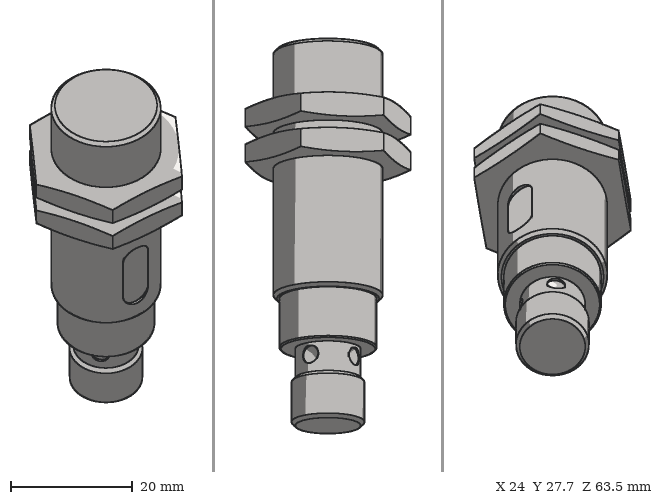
import cadquery as cq
import math

total_height = 63.5

plug_radius = 12.0 / 2
plug_top_z = 8.0
neck_radius = 10.77 / 2

collar_radius = 16.0 / 2
collar_bottom_z = 13.0
collar_chamfer = 0.25

barrel_radius = 18.0 / 2
barrel_bottom_z = 21.5
barrel_chamfer = 0.6

nut_across_flats = 24.0
nut_thickness = 4.0
nut_gap = 2.0
lower_nut_z = 43.5
nut_chamfer_angle = 15.0
nut_count = 2
hexagon_sides = 6
hexagon_turn = 180 / hexagon_sides

dimple_count = 4
dimple_first_angle = 45.0
dimple_radius = 3.0 / 2
dimple_floor_radius = 3.5
dimple_depth = 0.75
dimple_z = 11.0

slot_width = 5.0
slot_length = 12.8
slot_center_z = 31.5
slot_depth = 0.5


def make_body():
    """Turned profile of plug, neck, collar and barrel, revolved about Z."""
    neck_step = plug_radius - neck_radius
    profile = [
        (0, 0),
        (neck_radius, 0),
        (plug_radius, neck_step),
        (plug_radius, plug_top_z - neck_step),
        (neck_radius, plug_top_z),
        (neck_radius, collar_bottom_z),
        (collar_radius - collar_chamfer, collar_bottom_z),
        (collar_radius, collar_bottom_z + collar_chamfer),
        (collar_radius, barrel_bottom_z),
        (barrel_radius - barrel_chamfer, barrel_bottom_z),
        (barrel_radius, barrel_bottom_z + barrel_chamfer),
        (barrel_radius, total_height - barrel_chamfer),
        (barrel_radius - barrel_chamfer, total_height),
        (0, total_height),
    ]
    return cq.Workplane("XZ").polyline(profile).close().revolve(360, (0, 0), (0, 1))


def make_nut(bottom_z):
    """Hexagon with flats facing +X and -X, its corners turned down at both faces."""
    flat_radius = nut_across_flats / 2
    corner_radius = flat_radius / math.cos(math.radians(hexagon_turn))
    chamfer_height = (corner_radius - flat_radius) * math.tan(math.radians(nut_chamfer_angle))
    hexagon = (
        cq.Workplane("XY")
        .polygon(hexagon_sides, 2 * corner_radius)
        .extrude(nut_thickness)
        .rotate((0, 0, 0), (0, 0, 1), hexagon_turn)
    )
    turned_blank = (
        cq.Workplane("XZ")
        .moveTo(0, 0)
        .lineTo(flat_radius, 0)
        .lineTo(corner_radius, chamfer_height)
        .lineTo(corner_radius, nut_thickness - chamfer_height)
        .lineTo(flat_radius, nut_thickness)
        .lineTo(0, nut_thickness)
        .close()
        .revolve(360, (0, 0), (0, 1))
    )
    return hexagon.intersect(turned_blank).translate((0, 0, bottom_z))


def cut_dimples(body):
    """Cut equally spaced round dimples with bowl-shaped floors into the neck."""
    tip_radius = neck_radius - dimple_depth
    bowl = (
        cq.Workplane("XY")
        .sphere(dimple_floor_radius, direct=(1, 0, 0))
        .translate((tip_radius + dimple_floor_radius, 0, dimple_z))
    )
    shaft = (
        cq.Workplane("YZ", origin=(tip_radius, 0, dimple_z))
        .circle(dimple_radius)
        .extrude(dimple_floor_radius)
    )
    cutter = shaft.intersect(bowl)
    for index in range(dimple_count):
        angle = dimple_first_angle + index * 360 / dimple_count
        body = body.cut(cutter.rotate((0, 0, 0), (0, 0, 1), angle))
    return body


def cut_slot(body):
    """Cut the shallow round-ended slot, its length along Z."""
    slot = (
        cq.Workplane("YZ", origin=(barrel_radius - slot_depth, 0, slot_center_z))
        .slot2D(slot_length, slot_width, 90)
        .extrude(2 * slot_depth)
    )
    return body.cut(slot)


sensor = cut_slot(cut_dimples(make_body()))
for nut_index in range(nut_count):
    sensor = sensor.union(make_nut(lower_nut_z + nut_index * (nut_thickness + nut_gap)))

result = sensor